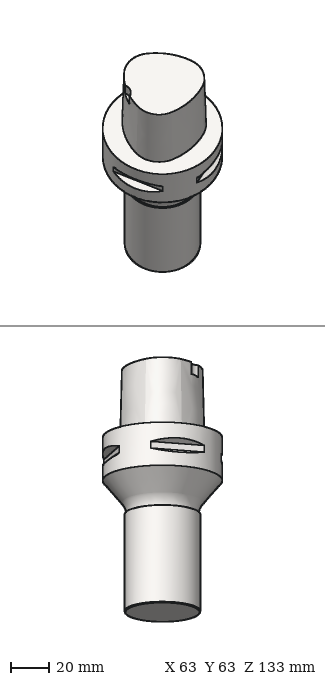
import cadquery as cq
import math

shank_diameter = 40.0
shank_length = 53.2
shank_chamfer = 0.5

flange_diameter = 63.0
flange_top = 95.1
flange_bottom = 71.7
flange_chamfer = 0.5
neck_diameter = 38.2
neck_blend_radius = 10.0

groove_count = 4
groove_first_angle = 45.0
groove_height = 83.0
groove_floor_width = 3.6
groove_floor_distance = 27.9
groove_flank_angle = 30.0

total_length = 133.0
side_distance = 20.5
lobe_distance = 23.4
side_radius = 36.6
lobe_count = 3
taper = 1 / 40

notch_width = 7.6
notch_height = 6.5
notch_depth = 1.7

coupling_length = total_length - flange_top
top_inset = taper * coupling_length
lobe_pitch = 2 * math.pi / lobe_count

lobe_excess = lobe_distance - side_distance
side_center = side_radius - side_distance
lobe_center = lobe_excess * (2 * side_center - lobe_excess) / (side_center - 2 * lobe_excess)
side_half_angle = math.atan2(
    lobe_center * math.sin(lobe_pitch / 2),
    side_center + lobe_center * math.cos(lobe_pitch / 2),
)


def make_shank():
    shank = cq.Workplane("XY").circle(shank_diameter / 2).extrude(shank_length)
    return shank.faces("<Z").edges().chamfer(shank_chamfer)


def make_flange():
    """Flange, cone and neck, revolved about Z."""
    flange_radius = flange_diameter / 2
    neck_radius = neck_diameter / 2
    cone_top = (flange_radius - flange_chamfer, flange_bottom - flange_chamfer)

    across = cone_top[0] - neck_radius - neck_blend_radius
    along = cone_top[1] - shank_length
    slope = math.asin(neck_blend_radius / math.hypot(across, along)) + math.atan2(across, along)

    def blend_point(angle):
        """Point on the blend arc, turned by angle from the neck end."""
        return (
            neck_radius + neck_blend_radius * (1 - math.cos(angle)),
            shank_length + neck_blend_radius * math.sin(angle),
        )

    profile = (
        cq.Workplane("XZ")
        .moveTo(0, shank_length)
        .lineTo(neck_radius, shank_length)
        .threePointArc(blend_point(slope / 2), blend_point(slope))
        .lineTo(*cone_top)
        .lineTo(flange_radius, flange_bottom)
        .lineTo(flange_radius, flange_top)
        .lineTo(0, flange_top)
        .close()
    )
    return profile.revolve(360, (0, 0, 0), (0, 1, 0))


def make_groove():
    """Cutter for one straight groove on the +X side, running along Y."""
    depth = flange_diameter / 2 - groove_floor_distance
    mouth_width = groove_floor_width + 2 * depth * math.tan(math.radians(groove_flank_angle))
    outer = flange_diameter / 2
    return (
        cq.Workplane("XZ")
        .polyline([
            (groove_floor_distance, groove_height - groove_floor_width / 2),
            (outer, groove_height - mouth_width / 2),
            (outer, groove_height + mouth_width / 2),
            (groove_floor_distance, groove_height + groove_floor_width / 2),
        ])
        .close()
        .extrude(flange_diameter / 2, both=True)
    )


def lobe_outline(height, inset):
    """Three side arcs joined tangentially by three lobe arcs; one side faces -Y."""
    radius = side_radius - inset

    def polar(distance, angle):
        """Point at a distance from the axis, at an angle turned from -Y."""
        return cq.Vector(distance * math.sin(angle), -distance * math.cos(angle), height)

    end_across = radius * math.sin(side_half_angle)
    end_along = radius * math.cos(side_half_angle) - side_center
    end_distance = math.hypot(end_across, end_along)
    end_angle = math.atan2(end_across, end_along)
    edges = []
    for i in range(lobe_count):
        side = i * lobe_pitch
        side_start = polar(end_distance, side - end_angle)
        side_middle = polar(side_distance - inset, side)
        side_end = polar(end_distance, side + end_angle)
        lobe_middle = polar(lobe_distance - inset, side + lobe_pitch / 2)
        next_start = polar(end_distance, side + lobe_pitch - end_angle)
        edges.append(cq.Edge.makeThreePointArc(side_start, side_middle, side_end))
        edges.append(cq.Edge.makeThreePointArc(side_end, lobe_middle, next_start))
    return cq.Wire.assembleEdges(edges)


def make_coupling():
    base = lobe_outline(flange_top, 0)
    top = lobe_outline(total_length, top_inset)
    return cq.Workplane(cq.Solid.makeLoft([base, top], True))


def make_notch():
    """Arched cutter at the middle of the -Y side of the coupling's end face."""
    side = top_inset - side_distance
    outside = -flange_diameter / 2
    return (
        cq.Workplane("XY")
        .workplane(offset=total_length - notch_height)
        .moveTo(-notch_width / 2, outside)
        .lineTo(-notch_width / 2, side)
        .threePointArc((0, side + notch_depth), (notch_width / 2, side))
        .lineTo(notch_width / 2, outside)
        .close()
        .extrude(notch_height)
    )


def make_holder():
    holder = make_flange().union(make_coupling())
    for i in range(groove_count):
        angle = groove_first_angle + i * 360 / groove_count
        holder = holder.cut(make_groove().rotate((0, 0, 0), (0, 0, 1), angle))
    return holder.cut(make_notch())


shank = make_shank()
holder = make_holder()
result = cq.Compound.makeCompound([shank.val(), *holder.vals()])